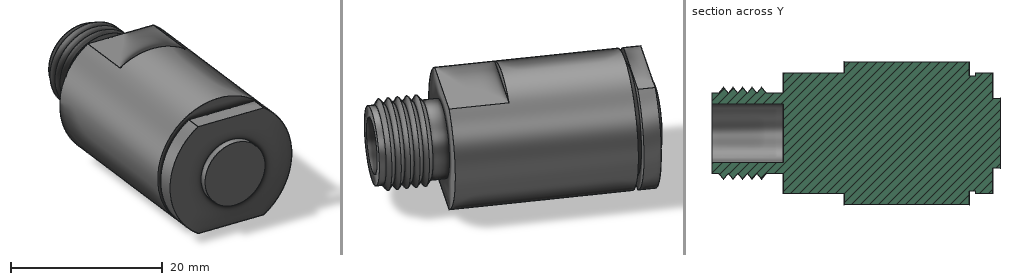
import cadquery as cq

thread_start = 0.9
thread_pitch = 1.25
thread_count = 5
shoulder_x = 9.4
flat_end_x = 17.45
body_end_x = 34.0
collar_start_x = 34.75
collar_end_x = 37.07
total_length = 38.1

body_diameter = 18.9
neck_diameter = 10.65
thread_diameter = 12.2
groove_diameter = 15.25
tip_diameter = 9.3
bore_diameter = 7.62

flat_width = 15.93
bore_depth = shoulder_x


def cylinder(start, end, diameter):
    """Solid cylinder on the X axis between two positions."""
    return cq.Workplane("YZ", origin=(start, 0, 0)).circle(diameter / 2).extrude(end - start)


def flatted_cylinder(start, end):
    """Body-diameter cylinder with two parallel flats facing +Z and -Z."""
    length = end - start
    slab = cq.Workplane("YZ", origin=(start, 0, 0)).rect(body_diameter, flat_width).extrude(length)
    return cylinder(start, end, body_diameter).intersect(slab)


def threaded_neck():
    """Neck with V-shaped rings standing for the thread, revolved about X."""
    root_radius = neck_diameter / 2
    crest_radius = thread_diameter / 2
    profile = cq.Workplane("XY").lineTo(0, root_radius).lineTo(thread_start, root_radius)
    for index in range(thread_count):
        ring_start = thread_start + index * thread_pitch
        profile = profile.lineTo(ring_start + thread_pitch / 2, crest_radius)
        profile = profile.lineTo(ring_start + thread_pitch, root_radius)
    profile = profile.lineTo(shoulder_x, root_radius).lineTo(shoulder_x, 0).close()
    return profile.revolve(360, (0, 0, 0), (1, 0, 0))


result = threaded_neck()
result = result.union(flatted_cylinder(shoulder_x, flat_end_x))
result = result.union(cylinder(flat_end_x, body_end_x, body_diameter))

result = result.union(cylinder(body_end_x, collar_start_x, groove_diameter))
result = result.union(flatted_cylinder(collar_start_x, collar_end_x))
result = result.union(cylinder(collar_end_x, total_length, tip_diameter))

result = result.cut(cylinder(0, bore_depth, bore_diameter))